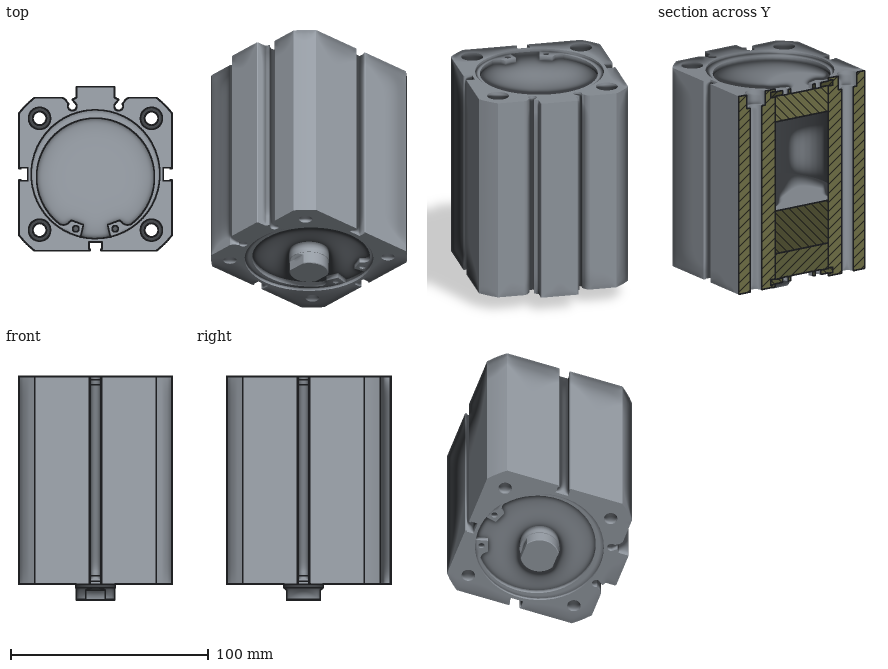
import cadquery as cq
import math

total_height = 113.0
rod_reach = 8.0
housing_height = total_height - rod_reach
housing_width = 77.5
half_width = housing_width / 2
corner_radius = 49.5

rail_height = 5.5
rail_half_width = 9.7
rail_corner = 0.5
rail_lip_x = 11.8
rail_lip_y = 37.7
rail_root_y = 35.3
groove_x = 11.8
groove_y = 34.4
groove_radius = 2.1
flank_foot = (13.6, 35.6)
flank_top = (14.4, 36.5)
shoulder_middle = (15.5, 38.0)
shoulder_x = 17.0

slot_half_width = 3.3
lip_half_gap = 2.7
lip_thickness = 0.9
lip_bevel = 0.3

hole_offset = 28.2
hole_radius = 3.4
counterbore_radius = 5.5
counterbore_depth = 7.3

bore_radius = 32.5
ring_depth = 1.6
ring_thickness = 2.6
ring_radius = 34.0
ring_opening_radius = 29.8
ring_opening_shift = 1.5
slot_skin = 0.2
slot_floor = ring_radius + slot_skin
cover_depth = ring_depth + ring_thickness
cover_thickness = 13.6

lug_hole = (10.0, -27.6)
lug_hole_radius = 1.6
lug_inner_corner = (12.2, -23.3)
lug_tip_corner = (6.1, -25.5)
ring_end_x = 7.9
lug_neck = (14.2, -25.1)
lug_neck_middle = (16.0, -25.7)
lug_neck_end_x = 18.1

rod_radius = 10.1
rod_step_depth = 1.7
rod_tip_radius = 9.8
rod_tip_chamfer = 0.3
flat_half_width = 8.5
piston_height = 22.6


def housing_blank():
    """Square prism whose four corners are turned to one radius, plus the +Y rail."""
    square = cq.Workplane("XY").rect(housing_width, housing_width).extrude(housing_height)
    turned = cq.Workplane("XY").circle(corner_radius).extrude(housing_height)
    rail = (
        cq.Workplane("XY")
        .center(0, half_width)
        .rect(2 * rail_half_width, 2 * rail_height)
        .extrude(housing_height)
        .edges("|Z and >Y")
        .chamfer(rail_corner)
    )
    return square.intersect(turned).union(rail)


def rail_groove(side):
    """Groove beside the rail: undercut rail flank, round bottom, rounded outer shoulder."""
    return (
        cq.Workplane("XY")
        .moveTo(side * rail_half_width, half_width)
        .lineTo(side * rail_lip_x, rail_lip_y)
        .lineTo(side * rail_half_width, rail_root_y)
        .threePointArc(
            (side * groove_x, groove_y - groove_radius),
            (side * flank_foot[0], flank_foot[1]),
        )
        .lineTo(side * flank_top[0], flank_top[1])
        .threePointArc(
            (side * shoulder_middle[0], shoulder_middle[1]),
            (side * shoulder_x, half_width),
        )
        .close()
        .extrude(housing_height)
    )


def sensor_slot(angle):
    """Lipped slot on the -Y side, turned about the axis by the given angle."""
    lip_inside = half_width - lip_thickness
    return (
        cq.Workplane("XY")
        .polyline([
            (-lip_half_gap - lip_bevel, -half_width),
            (-lip_half_gap, -half_width + lip_bevel),
            (-lip_half_gap, -lip_inside),
            (-slot_half_width, -lip_inside),
            (-slot_half_width, -slot_floor),
            (slot_half_width, -slot_floor),
            (slot_half_width, -lip_inside),
            (lip_half_gap, -lip_inside),
            (lip_half_gap, -half_width + lip_bevel),
            (lip_half_gap + lip_bevel, -half_width),
        ])
        .close()
        .extrude(housing_height)
        .rotate((0, 0, 0), (0, 0, 1), angle)
    )


def disc(radius, bottom, height):
    """Cylinder on the Z axis."""
    return cq.Workplane("XY").workplane(offset=bottom).circle(radius).extrude(height)


def make_housing():
    """Tube with counterbored mounting holes and a snap ring groove near each end."""
    body = housing_blank()
    for side in (-1, 1):
        body = body.cut(rail_groove(side))
    for angle in (-90, 0, 90):
        body = body.cut(sensor_slot(angle))
    body = (
        body.faces(">Z")
        .workplane(origin=(0, 0, housing_height))
        .rect(2 * hole_offset, 2 * hole_offset, forConstruction=True)
        .vertices()
        .cboreHole(2 * hole_radius, 2 * counterbore_radius, counterbore_depth)
    )
    body = body.cut(disc(bore_radius, 0, housing_height))
    for bottom in (ring_depth, housing_height - cover_depth):
        body = body.cut(disc(ring_radius, bottom, ring_thickness))
    return body


def make_snap_ring(bottom):
    """C-shaped ring, thinner toward the gap, with a drilled lug at each end."""
    def mirrored(point):
        return (-point[0], point[1])

    ring_end = (ring_end_x, -math.sqrt(ring_radius**2 - ring_end_x**2))
    neck_drop = math.sqrt(ring_opening_radius**2 - lug_neck_end_x**2)
    neck_end = (lug_neck_end_x, -ring_opening_shift - neck_drop)
    opening_top = (0, ring_opening_radius - ring_opening_shift)
    ring = (
        cq.Workplane("XY")
        .workplane(offset=bottom)
        .moveTo(*ring_end)
        .threePointArc((0, ring_radius), mirrored(ring_end))
        .lineTo(*mirrored(lug_tip_corner))
        .lineTo(*mirrored(lug_inner_corner))
        .lineTo(*mirrored(lug_neck))
        .threePointArc(mirrored(lug_neck_middle), mirrored(neck_end))
        .threePointArc(opening_top, neck_end)
        .threePointArc(lug_neck_middle, lug_neck)
        .lineTo(*lug_inner_corner)
        .lineTo(*lug_tip_corner)
        .close()
        .extrude(ring_thickness)
    )
    lug_holes = (
        cq.Workplane("XY")
        .workplane(offset=bottom)
        .pushPoints([lug_hole, mirrored(lug_hole)])
        .circle(lug_hole_radius)
        .extrude(ring_thickness)
    )
    return ring.cut(lug_holes)


def make_head_cover():
    """Plain disc closing the bore under the upper snap ring."""
    bottom = housing_height - cover_depth - cover_thickness
    return disc(bore_radius, bottom, cover_thickness)


def make_rod_cover():
    """Disc above the lower snap ring with a hole for the rod."""
    cover = disc(bore_radius, cover_depth, cover_thickness)
    return cover.cut(disc(rod_radius, cover_depth, cover_thickness))


def rod_flat(side):
    """Material removed for one wrench flat, running out at 45 degrees toward the rod."""
    flat_top = -rod_step_depth - (rod_tip_radius - flat_half_width)
    rise = rod_radius - flat_half_width
    return (
        cq.Workplane("YZ")
        .polyline([
            (side * flat_half_width, -rod_reach),
            (side * flat_half_width, flat_top),
            (side * rod_radius, flat_top + rise),
            (side * rod_radius, -rod_reach),
        ])
        .close()
        .extrude(rod_radius, both=True)
    )


def make_piston_rod():
    """Piston resting on the rod cover, with a stepped rod that has two wrench flats."""
    piston_bottom = cover_depth + cover_thickness
    piston = disc(bore_radius, piston_bottom, piston_height)
    rod = disc(rod_radius, -rod_step_depth, piston_bottom + rod_step_depth)
    tip = disc(rod_tip_radius, -rod_reach, rod_reach - rod_step_depth)
    tip = tip.faces("<Z").chamfer(rod_tip_chamfer)
    for side in (-1, 1):
        tip = tip.cut(rod_flat(side))
    return piston.union(rod).union(tip)


housing = make_housing()
snap_rings = [make_snap_ring(bottom) for bottom in (ring_depth, housing_height - cover_depth)]
head_cover = make_head_cover()
rod_cover = make_rod_cover()
piston_rod = make_piston_rod()

result = cq.Compound.makeCompound([
    housing.val(),
    *[ring.val() for ring in snap_rings],
    head_cover.val(),
    rod_cover.val(),
    piston_rod.val(),
])